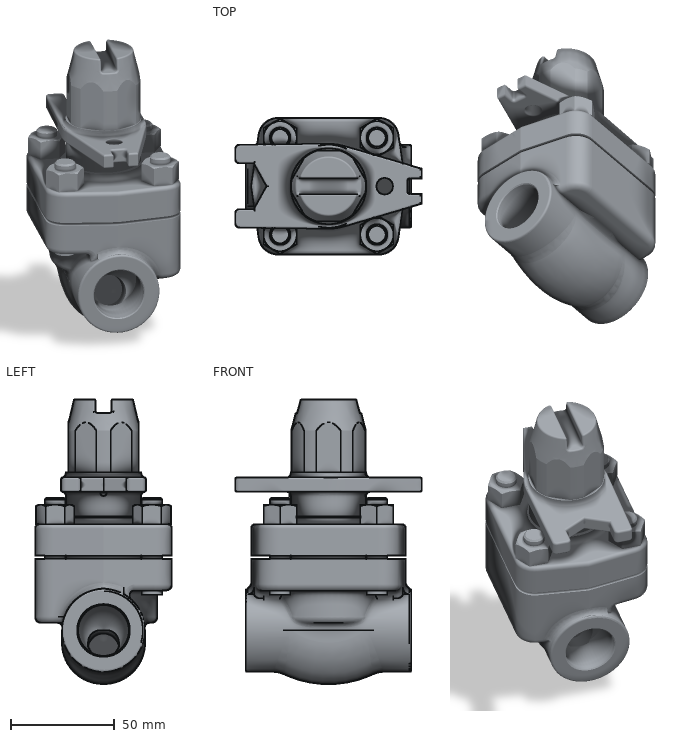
import cadquery as cq
import math


pipe_length = 80.0
pipe_radius = 20.0
pipe_end_fillet = 1.0
bore_diameter = 24.5
bore_depth = 20.0
bore_rim_diameter = 25.5
drill_point_angle = 118.0
passage_diameter = 15.0
passage_tilt = 15.0
passage_entry_z = -5.7
passage_reach = 12.0

bulge_bottom_z = -26.0
bulge_path_radius = 29.5
bulge_half_length = 30.0
bulge_half_width = 20.1
bulge_fillet = 12.0

chamber_radius = 26.0
block_bottom_z = 3.6
flange_bottom_z = 19.2
flange_top_z = 34.5
relief_y = -12.7
casting_fillet = 3.0
junction_fillet = 3.0
chamber_seam_fillet = 2.0
chamber_flare = 2.0
wall_seam_fillet = 2.0
relief_corner_fillet = 2.0
outline_half_width = 33.0
outline_apex_x = 37.3
cover_bottom_z = 36.1
cover_top_z = 51.2
cover_fillet = 2.0
spigot_radius = 18.0

bolt_circle_diameter = 66.0
stud_offset = bolt_circle_diameter / 2 / math.sqrt(2)
corner_radius = outline_half_width - stud_offset
corner_centre_x = 24.2
stud_diameter = 10.0
stud_tip_diameter = 8.38
stud_bottom_z = 17.1
stud_top_z = 63.9
nut_across_flats = 16.0
nut_height = 9.4
nut_chamfer_angle = 30.0

boss_radius = 19.0
boss_top_z = 54.3
boss_flare = 3.0
groove_radius = 17.0
groove_height = 0.7
stem_radius = 18.15
hub_radius = 20.0
lower_flare_z = 64.7
pin_diameter = 3.0
pin_z = 66.3
pin_length = 19.0

lever_bottom_z = 66.8
lever_top_z = 73.8
lever_end_x = 45.0
lever_edge_fillet = 1.0
arm_outer_y = 20.0
arm_inner_y = 11.0
arm_corner_fillet = 2.1
arm_root_x = -36.0
notch_apex_x = -29.9
shoulder_y = 20.5
shoulder_radius = 27.0
shoulder_end_x = 7.6
fork_slot_width = 7.4
fork_slot_x = 38.0
fork_corner_fillet = 1.2
lever_hole_x = 27.1
lever_hole_diameter = 8.0
lever_hole_fillet = 0.5

knob_bottom_z = 76.2
collar_bottom_z = 75.5
collar_radius = 18.3
knob_radius = 18.0
knob_across_flats = 34.0
cone_bottom_z = 96.3
knob_top_z = bulge_bottom_z + 137.43
knob_top_radius = 14.25
knob_edge_fillet = 0.9
slot_width = 7.6
slot_depth = 6.6
slot_corner_fillet = 1.1


def flange_outline(bottom_z, top_z):
    """Flange plate with rounded corners and end faces that peak at y = 0."""
    reach_x = outline_apex_x - corner_centre_x
    lean = math.acos(corner_radius / math.hypot(reach_x, stud_offset)) - math.atan2(stud_offset, reach_x)
    middle = (lean + math.pi / 2) / 2

    def corner_point(angle, x_side, y_side):
        along = corner_centre_x + corner_radius * math.cos(angle)
        across = stud_offset + corner_radius * math.sin(angle)
        return (x_side * along, y_side * across)

    outline = cq.Workplane("XY").workplane(offset=bottom_z).moveTo(outline_apex_x, 0)
    outline = outline.lineTo(*corner_point(lean, 1, 1))
    outline = outline.threePointArc(corner_point(middle, 1, 1), corner_point(math.pi / 2, 1, 1))
    outline = outline.lineTo(*corner_point(math.pi / 2, -1, 1))
    outline = outline.threePointArc(corner_point(middle, -1, 1), corner_point(lean, -1, 1))
    outline = outline.lineTo(-outline_apex_x, 0)
    outline = outline.lineTo(*corner_point(lean, -1, -1))
    outline = outline.threePointArc(corner_point(middle, -1, -1), corner_point(math.pi / 2, -1, -1))
    outline = outline.lineTo(*corner_point(math.pi / 2, 1, -1))
    outline = outline.threePointArc(corner_point(middle, 1, -1), corner_point(lean, 1, -1))
    return outline.close().extrude(top_z - bottom_z)


def disc(radius, bottom_z, top_z):
    return cq.Workplane("XY").workplane(offset=bottom_z).circle(radius).extrude(top_z - bottom_z)


def make_pipe():
    pipe = cq.Workplane("YZ").workplane(offset=-pipe_length / 2).circle(pipe_radius).extrude(pipe_length)
    return pipe.faces("<X or >X").edges().fillet(pipe_end_fillet)


def make_bulge():
    """Half-round band swept about a Y axis above the pipe, kept below the pipe axis."""
    outer_radius = bulge_path_radius + bulge_half_width
    profile = (
        cq.Workplane("XY")
        .moveTo(0, -bulge_half_width)
        .lineTo(bulge_path_radius, -bulge_half_width)
        .threePointArc((outer_radius, 0), (bulge_path_radius, bulge_half_width))
        .lineTo(0, bulge_half_width)
        .close()
    )
    band = profile.revolve(360, (0, 0, 0), (0, 1, 0)).translate((0, 0, bulge_bottom_z + outer_radius))
    keep = cq.Workplane("XY").box(2 * bulge_half_length, 2 * outer_radius, outer_radius)
    return band.intersect(keep.translate((0, 0, -outer_radius / 2)))


def edges_within(solid, low, high):
    """Edges whose centres lie between two opposite corners of a box."""
    return solid.edges(cq.selectors.BoxSelector(low, high))


def make_block():
    """Body flange, with its underside cut away at the front to clear the studs."""
    block = flange_outline(block_bottom_z, flange_top_z)
    relief_size = 2 * outline_apex_x + 2
    relief = (
        cq.Workplane("XY")
        .box(relief_size, relief_size, relief_size, centered=(True, False, False))
        .translate((0, relief_y - relief_size, flange_bottom_z - relief_size))
    )
    block = block.cut(relief)
    inner_edge = edges_within(
        block,
        (-1, relief_y - 1, flange_bottom_z - 1),
        (1, relief_y + 1, flange_bottom_z + 1),
    )
    block = inner_edge.fillet(relief_corner_fillet)
    front_rim = cq.selectors.BoxSelector(
        (-outline_apex_x, -outline_half_width - 1, flange_bottom_z - 0.1),
        (outline_apex_x, relief_y - relief_corner_fillet - 0.1, flange_bottom_z + 0.1),
    )
    end_rims = [
        cq.selectors.BoxSelector(
            (side * chamber_radius, relief_y - relief_corner_fillet, block_bottom_z + 0.1),
            (side * (outline_apex_x + 1), relief_y + 0.1, flange_bottom_z - 0.1),
        )
        for side in (-1, 1)
    ]
    block = block.edges(front_rim + end_rims[0] + end_rims[1]).fillet(casting_fillet)
    return block.faces("<Z").edges("not <Y").fillet(casting_fillet)


def make_junction_webs():
    """Concave blends where the pipe leaves the two end faces of the block."""
    prism = flange_outline(-flange_top_z, flange_top_z)
    long_pipe = cq.Workplane("YZ").circle(pipe_radius).extrude(pipe_length, both=True)
    joined = prism.union(long_pipe)
    end_edges = edges_within(
        joined,
        (-pipe_length / 2, -pipe_radius, -pipe_radius),
        (pipe_length / 2, pipe_radius, pipe_radius),
    ).edges("not |X")
    webs = end_edges.fillet(junction_fillet).cut(prism)
    keep = (
        cq.Workplane("XY")
        .box(pipe_length - 2 * pipe_end_fillet, outline_half_width, flange_top_z, centered=(True, False, False))
        .translate((0, relief_y + casting_fillet, block_bottom_z + casting_fillet))
    )
    return webs.intersect(keep)


def make_chamber_flare():
    """Ring that blends the chamber wall into the underside of the flange."""
    flare_radius = chamber_radius + chamber_flare
    flare_start_z = flange_bottom_z - chamber_flare
    bow = chamber_flare * (1 - math.sqrt(0.5))
    return (
        cq.Workplane("XZ")
        .moveTo(chamber_radius, flare_start_z)
        .threePointArc((chamber_radius + bow, flange_bottom_z - bow), (flare_radius, flange_bottom_z))
        .lineTo(flare_radius, flange_bottom_z + 1)
        .lineTo(chamber_radius - 1, flange_bottom_z + 1)
        .lineTo(chamber_radius - 1, flare_start_z)
        .close()
        .revolve(360, (0, 0, 0), (0, 1, 0))
    )


def make_wall_seam():
    """Concave strip where the wall behind the relief comes down onto the pipe."""
    centre_y = relief_y - wall_seam_fillet
    centre_radius = pipe_radius + wall_seam_fillet
    centre_z = math.sqrt(centre_radius**2 - centre_y**2)
    pipe_share = pipe_radius / centre_radius
    foot_y = centre_y * pipe_share
    foot_z = centre_z * pipe_share
    sweep = math.acos(-centre_y / centre_radius) / 2
    strip_half_length = outline_apex_x - 2 * casting_fillet
    return (
        cq.Workplane("YZ")
        .workplane(offset=-strip_half_length)
        .moveTo(relief_y, centre_z)
        .threePointArc(
            (centre_y + wall_seam_fillet * math.cos(sweep), centre_z - wall_seam_fillet * math.sin(sweep)),
            (foot_y, foot_z),
        )
        .lineTo(foot_y * pipe_share, foot_z * pipe_share)
        .lineTo(foot_y * pipe_share, centre_z)
        .close()
        .extrude(2 * strip_half_length)
    )


def make_body():
    chamber = disc(chamber_radius, block_bottom_z, flange_top_z)
    chamber = chamber.faces("<Z").edges().fillet(casting_fillet)
    body = chamber.union(make_pipe())
    front_seam = edges_within(
        body,
        (-chamber_radius, -pipe_radius - 0.1, 0.5),
        (chamber_radius, 0, pipe_radius + 0.1),
    )
    body = front_seam.fillet(chamber_seam_fillet)
    body = body.union(make_block()).union(make_junction_webs()).union(make_bulge())
    body = body.union(make_chamber_flare()).union(make_wall_seam())
    bulge_ends = edges_within(
        body,
        (-bulge_half_length + 1, -pipe_radius / 2, bulge_bottom_z),
        (bulge_half_length - 1, pipe_radius / 2, -pipe_radius / 2),
    )
    return bulge_ends.fillet(bulge_fillet)


def cut_bores(body):
    """Counterbored port at each end, leading into a passage that dips towards the middle."""
    bore_radius = bore_diameter / 2
    tip_length = bore_radius / math.tan(math.radians(drill_point_angle / 2))
    port_start = -pipe_length / 2
    port = (
        cq.Workplane("XZ")
        .moveTo(port_start, 0)
        .lineTo(port_start, bore_rim_diameter / 2)
        .lineTo(port_start + (bore_rim_diameter - bore_diameter) / 2, bore_radius)
        .lineTo(port_start + bore_depth, bore_radius)
        .lineTo(port_start + bore_depth + tip_length, 0)
        .close()
        .revolve(360, (0, 0, 0), (1, 0, 0))
    )
    passage = (
        cq.Workplane("YZ")
        .circle(passage_diameter / 2)
        .extrude(passage_reach)
        .rotate((0, 0, 0), (0, 1, 0), passage_tilt)
        .translate((port_start + bore_depth, 0, passage_entry_z))
    )
    inlet = port.union(passage)
    return body.cut(inlet).cut(inlet.mirror("YZ"))


def make_cover():
    cover = flange_outline(cover_bottom_z, cover_top_z)
    cover = cover.faces(">Z").edges().fillet(cover_fillet)
    return cover.union(disc(spigot_radius, flange_top_z, cover_bottom_z))


def make_stud_and_nut():
    stud = disc(stud_diameter / 2, stud_bottom_z, stud_top_z)
    stud = stud.faces(">Z").edges().chamfer((stud_diameter - stud_tip_diameter) / 2)
    corner_diameter = nut_across_flats / math.cos(math.pi / 6)
    nut = (
        cq.Workplane("XY")
        .workplane(offset=cover_top_z)
        .polygon(6, corner_diameter)
        .extrude(nut_height)
        .rotate((0, 0, 0), (0, 0, 1), 90)
    )
    corner_drop = (corner_diameter - nut_across_flats) / 2
    chamfer_height = corner_drop * math.tan(math.radians(nut_chamfer_angle))
    envelope = disc(corner_diameter / 2, cover_top_z, cover_top_z + nut_height)
    envelope = envelope.faces(">Z").edges().chamfer(chamfer_height, corner_drop)
    return nut.intersect(envelope).union(stud)


def make_stem():
    """Turned parts between cover and knob, including the flares above and below the lever."""
    groove_top_z = boss_top_z + groove_height
    flare_bow = math.sqrt(0.5)
    boss_flare_radius = boss_radius + boss_flare
    lower_step = hub_radius - stem_radius
    lower_rise = lever_bottom_z - lower_flare_z
    upper_step = hub_radius - collar_radius
    upper_rise = collar_bottom_z - lever_top_z
    return (
        cq.Workplane("XZ")
        .moveTo(0, cover_top_z)
        .lineTo(boss_flare_radius, cover_top_z)
        .threePointArc(
            (boss_flare_radius - boss_flare * flare_bow, cover_top_z + boss_flare * (1 - flare_bow)),
            (boss_radius, cover_top_z + boss_flare),
        )
        .lineTo(boss_radius, boss_top_z)
        .lineTo(groove_radius, boss_top_z)
        .lineTo(groove_radius, groove_top_z)
        .lineTo(stem_radius, groove_top_z)
        .lineTo(stem_radius, lower_flare_z)
        .threePointArc(
            (hub_radius - lower_step * flare_bow, lever_bottom_z - lower_rise * (1 - flare_bow)),
            (hub_radius, lever_bottom_z),
        )
        .lineTo(hub_radius, lever_top_z)
        .threePointArc(
            (hub_radius - upper_step * flare_bow, lever_top_z + upper_rise * (1 - flare_bow)),
            (collar_radius, collar_bottom_z),
        )
        .lineTo(collar_radius, knob_bottom_z)
        .lineTo(0, knob_bottom_z)
        .close()
        .revolve(360, (0, 0, 0), (0, 1, 0))
    )


def make_pin():
    return cq.Workplane("YZ").center(0, pin_z).circle(pin_diameter / 2).extrude(-pin_length)


def make_lever():
    """Indicator plate with a notched arm on one side and a tapered fork on the other."""
    shoulder_centre_y = shoulder_y - shoulder_radius
    taper = math.asin(shoulder_end_x / shoulder_radius)
    shoulder_mid_x = shoulder_radius * math.sin(taper / 2)
    shoulder_mid_y = shoulder_centre_y + shoulder_radius * math.cos(taper / 2)
    shoulder_end_y = shoulder_centre_y + shoulder_radius * math.cos(taper)
    fork_tip_y = shoulder_end_y - (lever_end_x - shoulder_end_x) * math.tan(taper)
    fork_slot_y = fork_slot_width / 2
    plate = (
        cq.Workplane("XY")
        .workplane(offset=lever_bottom_z)
        .moveTo(-lever_end_x, arm_outer_y)
        .lineTo(0, shoulder_y)
        .threePointArc((shoulder_mid_x, shoulder_mid_y), (shoulder_end_x, shoulder_end_y))
        .lineTo(lever_end_x, fork_tip_y)
        .lineTo(lever_end_x, fork_slot_y)
        .lineTo(fork_slot_x, fork_slot_y)
        .lineTo(fork_slot_x, -fork_slot_y)
        .lineTo(lever_end_x, -fork_slot_y)
        .lineTo(lever_end_x, -fork_tip_y)
        .lineTo(shoulder_end_x, -shoulder_end_y)
        .threePointArc((shoulder_mid_x, -shoulder_mid_y), (0, -shoulder_y))
        .lineTo(-lever_end_x, -arm_outer_y)
        .lineTo(-lever_end_x, -arm_inner_y)
        .lineTo(arm_root_x, -arm_inner_y)
        .lineTo(notch_apex_x, 0)
        .lineTo(arm_root_x, arm_inner_y)
        .lineTo(-lever_end_x, arm_inner_y)
        .close()
        .extrude(lever_top_z - lever_bottom_z)
    )
    plate = plate.edges("|Z and <X").fillet(arm_corner_fillet)
    slot_corners = edges_within(
        plate,
        (fork_slot_x - 0.1, -fork_slot_y - 0.1, lever_bottom_z),
        (fork_slot_x + 0.1, fork_slot_y + 0.1, lever_top_z),
    ).edges("|Z")
    plate = slot_corners.fillet(fork_corner_fillet)
    plate = plate.faces(">Z or <Z").edges().fillet(lever_edge_fillet)
    hole = disc(lever_hole_diameter / 2, lever_bottom_z, lever_top_z).translate((lever_hole_x, 0, 0))
    plate = plate.cut(hole)
    return edges_within(
        plate,
        (lever_hole_x - lever_hole_diameter, -lever_hole_diameter, lever_bottom_z - 0.1),
        (lever_hole_x + lever_hole_diameter, lever_hole_diameter, lever_top_z + 0.1),
    ).edges("%CIRCLE").edges(cq.selectors.RadiusNthSelector(-1)).fillet(lever_hole_fillet)


def make_knob():
    """Hexagon-flatted knob with a tapered top and a screwdriver slot along X."""
    knob = (
        cq.Workplane("XZ")
        .moveTo(0, knob_bottom_z)
        .lineTo(knob_radius, knob_bottom_z)
        .lineTo(knob_radius, cone_bottom_z)
        .lineTo(knob_top_radius, knob_top_z)
        .lineTo(0, knob_top_z)
        .close()
        .revolve(360, (0, 0, 0), (0, 1, 0))
    )
    hexagon = (
        cq.Workplane("XY")
        .workplane(offset=knob_bottom_z)
        .polygon(6, knob_across_flats / math.cos(math.pi / 6))
        .extrude(knob_top_z - knob_bottom_z)
    )
    knob = knob.intersect(hexagon)
    slot = (
        cq.Workplane("XY")
        .box(2 * knob_radius, slot_width, 2 * slot_depth)
        .edges("|X and <Z")
        .fillet(slot_corner_fillet)
        .translate((0, 0, knob_top_z))
    )
    knob = knob.cut(slot)
    slot_mouths = [
        cq.selectors.BoxSelector(
            (side * (knob_top_radius - knob_edge_fillet), -slot_width / 2 - 0.1, knob_top_z - slot_depth - 0.1),
            (side * knob_radius, slot_width / 2 + 0.1, knob_top_z - 0.1),
        )
        for side in (-1, 1)
    ]
    top_edges = knob.faces(">Z").edges()
    return knob.edges(slot_mouths[0] + slot_mouths[1]).add(top_edges).fillet(knob_edge_fillet)


result = cut_bores(make_body()).union(make_cover()).union(make_stem())
result = result.union(make_pin()).union(make_lever()).union(make_knob())
for x_side in (-1, 1):
    for y_side in (-1, 1):
        result = result.union(make_stud_and_nut().translate((x_side * stud_offset, y_side * stud_offset, 0)))